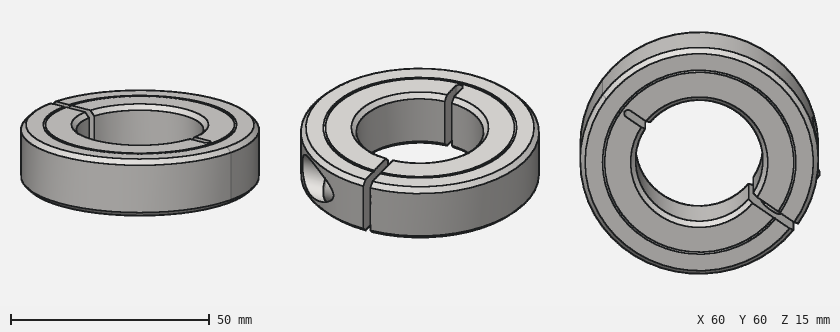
import cadquery as cq

outer_radius = 30.0
bore_radius = 16.0
thickness = 15.0
edge_chamfer = 1.25

groove_outer_radius = 24.35
groove_width = 0.55

slot_width = 2.0
slot_end_x = 23.05

screw_x = -23.0
shank_radius = 3.0
head_radius = 5.0
head_height = 6.0
head_fillet = 0.5
head_top_y = 13.5
screw_length = 20.0
counterbore_radius = 5.2

head_seat_y = head_top_y - head_height
shank_end_y = head_seat_y - screw_length


def cylinder_along_y(radius, start_y, end_y):
    """Cylinder on the screw axis, from start_y up to end_y."""
    axis = cq.Vector(0, 1, 0)
    base = cq.Vector(screw_x, start_y, 0)
    return cq.Workplane(cq.Solid.makeCylinder(radius, end_y - start_y, base, axis))


def make_groove(face_z):
    """Ring of circular section centred on the flat face at face_z; its inner half cuts a half-round groove."""
    section_radius = groove_width / 2
    ring_radius = groove_outer_radius - section_radius
    return cq.Workplane(cq.Solid.makeTorus(ring_radius, section_radius, cq.Vector(0, 0, face_z)))


def make_slot():
    """Slot cutter through the full thickness."""
    end_radius = slot_width / 2
    end_centre_x = slot_end_x - end_radius
    straight_length = outer_radius + end_centre_x
    straight = cq.Workplane("XY").box(straight_length, slot_width, thickness)
    straight = straight.translate((end_centre_x - straight_length / 2, 0, 0))
    bottom = cq.Workplane("XY", origin=(end_centre_x, 0, -thickness / 2))
    round_end = bottom.circle(end_radius).extrude(thickness)
    return straight.union(round_end)


def make_collar():
    """Chamfered split ring with the screw hole and its counterbore."""
    bottom = cq.Workplane("XY", origin=(0, 0, -thickness / 2))
    ring = bottom.circle(outer_radius).circle(bore_radius).extrude(thickness)
    ring = ring.faces("|Z").edges().chamfer(edge_chamfer)
    for face_z in (thickness / 2, -thickness / 2):
        ring = ring.cut(make_groove(face_z))
    ring = ring.cut(make_slot())
    ring = ring.cut(cylinder_along_y(shank_radius, shank_end_y, head_seat_y))
    return ring.cut(cylinder_along_y(counterbore_radius, head_seat_y, outer_radius))


def make_screw():
    """Cylindrical-head screw with its head on the +Y side."""
    head = cylinder_along_y(head_radius, head_seat_y, head_top_y).faces(">Y").edges().fillet(head_fillet)
    shank = cylinder_along_y(shank_radius, shank_end_y, head_seat_y)
    return head.union(shank)


collar = make_collar()
screw = make_screw()

result = cq.Compound.makeCompound([collar.val(), screw.val()])